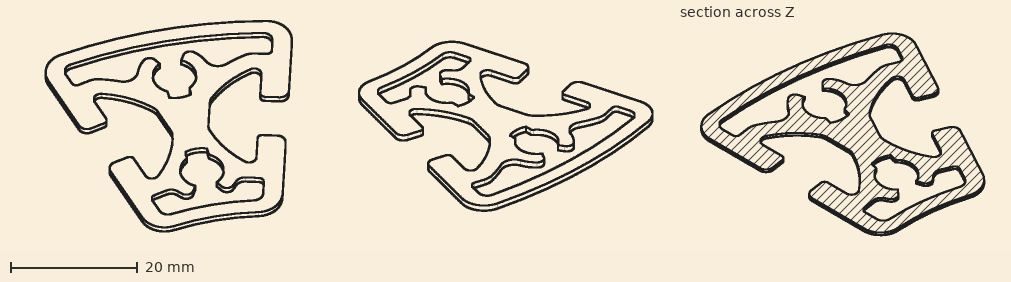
import math

import cadquery as cq


thickness = 1.0
bend_angle = 30
inner_radius = 39.98
outer_radius = 2 * inner_radius
middle_radius = (inner_radius + outer_radius) / 2
wall = 2.5
bar_corner_fillet = 4.0

mouth_width = 8.0
lip_thickness = 4.5
slot_depth = 12.35
flank_radius = 16.8
flank_offset = 4.52
flank_height = -2.72
slot_floor_fillet = 2.5
slot_tip_fillet = 1.15
lip_inner_fillet = 0.75
lip_outer_fillet = 1.4

bore_radius = 3.43
channel_offset = 10.1
collar_radius = 5.85
opening_angle = 60
key_width = 3.5
key_radius = 4.6
key_fillet = 0.5
channel_lip_fillet = 1.15

pocket_floor = 3.08
web = 3.05
upright_x = 13.0
upright_fillet = 0.8
pocket_corner_fillet = 1.5
knee_fillet = 3.0
neck_fillet = 2.25
collar_foot_fillet = 1.6

apex = (middle_radius, 0)
half_bend = bend_angle / 2
lower_face_angle = 180
bisector_angle = lower_face_angle - half_bend
upper_face_angle = lower_face_angle - bend_angle
reach = outer_radius


def polar(center, radius, degrees):
    angle = math.radians(degrees)
    return center[0] + radius * math.cos(angle), center[1] + radius * math.sin(angle)


def disc(center, radius):
    return cq.Workplane("XY").center(*center).circle(radius).extrude(thickness)


def block(x_min, x_max, y_min, y_max):
    size = (x_max - x_min, y_max - y_min, thickness)
    return cq.Workplane("XY").box(*size, centered=False).translate((x_min, y_min, 0))


def point_at_height(center, radius, height, side):
    """Point of a circle at a given Y, on its -X (side -1) or +X (side 1) half."""
    return center[0] + side * math.sqrt(radius**2 - (height - center[1]) ** 2), height


def circle_crossing(center_a, radius_a, center_b, radius_b):
    """Crossing of two circles that lies to the left when going from centre a to centre b."""
    gap = math.dist(center_a, center_b)
    direction = math.degrees(math.atan2(center_b[1] - center_a[1], center_b[0] - center_a[0]))
    cosine = (radius_a**2 + gap**2 - radius_b**2) / (2 * radius_a * gap)
    return polar(center_a, radius_a, direction + math.degrees(math.acos(cosine)))


def reflected_point(point):
    """Reflection of a point in the bisector."""
    angle = math.degrees(math.atan2(point[1] - apex[1], point[0] - apex[0]))
    return polar(apex, math.dist(apex, point), 2 * bisector_angle - angle)


def fillet_corners(body, corners):
    """Round the upright edge at each (point, radius) pair."""
    for (x, y), radius in corners:
        nearest = cq.NearestToPointSelector((x, y, thickness / 2))
        body = body.edges("|Z").edges(nearest).fillet(radius)
    return body


def flank_center(side):
    return -side * flank_offset, flank_height


def reflected(body):
    """Reflection of a body in the bisector: flip it over the X axis, then turn it about the apex."""
    return body.mirror("XZ").rotate((*apex, 0), (*apex, 1), -bend_angle)


outer_channel = polar(apex, middle_radius + channel_offset, bisector_angle)
inner_channel = polar(apex, middle_radius - channel_offset, bisector_angle)


def bent_bar():
    """Ring sector about the apex, from one slotted face to the other."""
    return (
        cq.Workplane("XY")
        .moveTo(*polar(apex, inner_radius, lower_face_angle))
        .lineTo(*polar(apex, outer_radius, lower_face_angle))
        .threePointArc(
            polar(apex, outer_radius, bisector_angle),
            polar(apex, outer_radius, upper_face_angle),
        )
        .lineTo(*polar(apex, inner_radius, upper_face_angle))
        .threePointArc(
            polar(apex, inner_radius, bisector_angle),
            polar(apex, inner_radius, lower_face_angle),
        )
        .close()
        .extrude(thickness)
    )


def slot():
    """Undercut slot with curved flanks, open through its mouth."""
    undercut = block(-reach, reach, lip_thickness, slot_depth)
    for side in (-1, 1):
        undercut = undercut.intersect(disc(flank_center(side), flank_radius))
    return undercut.union(block(-mouth_width / 2, mouth_width / 2, 0, lip_thickness))


def outer_pocket():
    """Pocket away from the apex; its webs follow the slot flanks above a straight foot."""
    foot = block(-upright_x, reach, 0, reach)
    foot_and_web = disc(flank_center(-1), flank_radius + web).intersect(foot)
    lower_bound = block(-reach, 0, pocket_floor, reach).cut(foot_and_web)
    return (
        lower_bound.intersect(reflected(lower_bound))
        .intersect(disc(apex, outer_radius - wall))
        .cut(disc(apex, middle_radius + channel_offset - bore_radius))
        .cut(disc(outer_channel, collar_radius))
    )


def inner_pocket():
    """Pocket on the apex side; its straight feet run into the channel collar."""
    lower_bound = block(upright_x, middle_radius, pocket_floor, reach)
    return (
        lower_bound.intersect(reflected(lower_bound))
        .cut(disc(apex, inner_radius + wall))
        .cut(disc(inner_channel, collar_radius))
    )


def channel(center, mouth_direction):
    """Bore with a tapered mouth on one side and a shallow key groove opposite."""
    half_opening = opening_angle / 2
    mouth_length = collar_radius / math.cos(math.radians(half_opening))
    mouth = (
        cq.Workplane("XY")
        .polyline([
            center,
            polar(center, mouth_length, mouth_direction - half_opening),
            polar(center, mouth_length, mouth_direction + half_opening),
        ])
        .close()
        .extrude(thickness)
    )
    key = (
        block(-key_radius, 0, -key_width / 2, key_width / 2)
        .intersect(disc((0, 0), key_radius))
        .rotate((0, 0, 0), (0, 0, 1), mouth_direction)
        .translate((*center, 0))
    )
    return disc(center, bore_radius).union(mouth).union(key)


def slot_corners():
    corners = []
    for side in (-1, 1):
        center = flank_center(side)
        corners += [
            ((side * mouth_width / 2, 0), lip_outer_fillet),
            ((side * mouth_width / 2, lip_thickness), lip_inner_fillet),
            (point_at_height(center, flank_radius, lip_thickness, side), slot_tip_fillet),
            (point_at_height(center, flank_radius, slot_depth, side), slot_floor_fillet),
        ]
    return corners


def outer_pocket_corners():
    web_center = flank_center(-1)
    web_radius = flank_radius + web
    knee_rise = math.sqrt(web_radius**2 - (upright_x + web_center[0]) ** 2)
    return [
        (point_at_height(apex, outer_radius - wall, pocket_floor, -1), pocket_corner_fillet),
        ((-upright_x, pocket_floor), upright_fillet),
        ((-upright_x, flank_height + knee_rise), knee_fillet),
        (circle_crossing(web_center, web_radius, outer_channel, collar_radius), neck_fillet),
    ]


def inner_pocket_corners():
    collar_drop = math.sqrt(collar_radius**2 - (upright_x - inner_channel[0]) ** 2)
    return [
        (point_at_height(apex, inner_radius + wall, pocket_floor, -1), pocket_corner_fillet),
        ((upright_x, pocket_floor), upright_fillet),
        ((upright_x, inner_channel[1] - collar_drop), collar_foot_fillet),
    ]


def channel_corners(center, mouth_direction, lower_side):
    """Corners below the bisector; lower_side is 1 where that is counterclockwise of the mouth."""
    lip_tip = polar(center, collar_radius, mouth_direction + lower_side * opening_angle / 2)
    key_half_angle = math.degrees(math.asin(key_width / 2 / bore_radius))
    key_corner = polar(center, bore_radius, mouth_direction + 180 - lower_side * key_half_angle)
    return [(lip_tip, channel_lip_fillet), (key_corner, key_fillet)]


sharp_profile = (
    bent_bar()
    .cut(slot())
    .cut(reflected(slot()))
    .cut(outer_pocket())
    .cut(inner_pocket())
    .cut(channel(outer_channel, bisector_angle))
    .cut(channel(inner_channel, -half_bend))
)

lower_corners = (
    [
        (polar(apex, outer_radius, lower_face_angle), bar_corner_fillet),
        (polar(apex, inner_radius, lower_face_angle), bar_corner_fillet),
    ]
    + slot_corners()
    + outer_pocket_corners()
    + inner_pocket_corners()
    + channel_corners(outer_channel, bisector_angle, 1)
    + channel_corners(inner_channel, -half_bend, -1)
)
upper_corners = [(reflected_point(point), radius) for point, radius in lower_corners]
result = fillet_corners(sharp_profile, lower_corners + upper_corners)